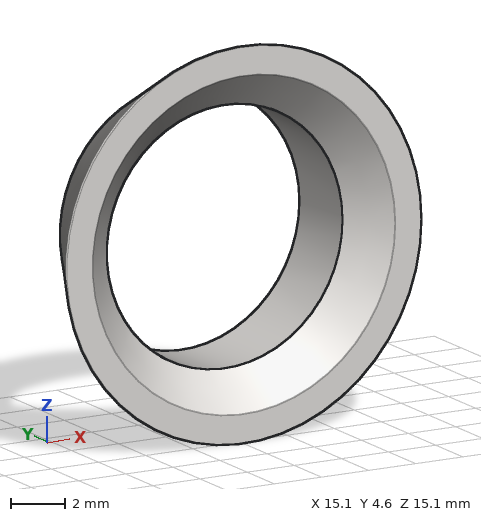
import math

import cadquery as cq

outer_radius = 7.55
back_radius = 5.16
bore_radius = 5.0
mouth_radius = 6.42
length = 4.6

edge_rounding = 0.038

mouth_angle = math.radians(45)
mouth_depth = (mouth_radius - bore_radius) / math.tan(mouth_angle)

outer_centre = (outer_radius - edge_rounding, edge_rounding)
centre_to_back = (back_radius - outer_centre[0], length - outer_centre[1])
taper_normal = math.atan2(centre_to_back[1], centre_to_back[0]) - math.acos(
    edge_rounding / math.hypot(*centre_to_back)
)
taper_start = (
    outer_centre[0] + edge_rounding * math.cos(taper_normal),
    outer_centre[1] + edge_rounding * math.sin(taper_normal),
)

mouth_setback = edge_rounding * math.tan(mouth_angle / 2)
mouth_centre = (mouth_radius + mouth_setback, edge_rounding)


def mouth_arc_point(turn):
    """Point on the mouth rounding, turned from the front face towards the cone."""
    return (
        mouth_centre[0] - edge_rounding * math.sin(turn),
        mouth_centre[1] - edge_rounding * math.cos(turn),
    )


half_section = (
    cq.Workplane("XY")
    .moveTo(*mouth_arc_point(0))
    .lineTo(outer_centre[0], 0)
    .threePointArc((outer_radius, edge_rounding), taper_start)
    .lineTo(back_radius, length)
    .lineTo(bore_radius, length)
    .lineTo(bore_radius, mouth_depth)
    .lineTo(*mouth_arc_point(mouth_angle))
    .threePointArc(mouth_arc_point(mouth_angle / 2), mouth_arc_point(0))
    .close()
)

ring = half_section.revolve(360, (0, 0, 0), (0, 1, 0))
result = ring.translate((0, -length / 2, 0))